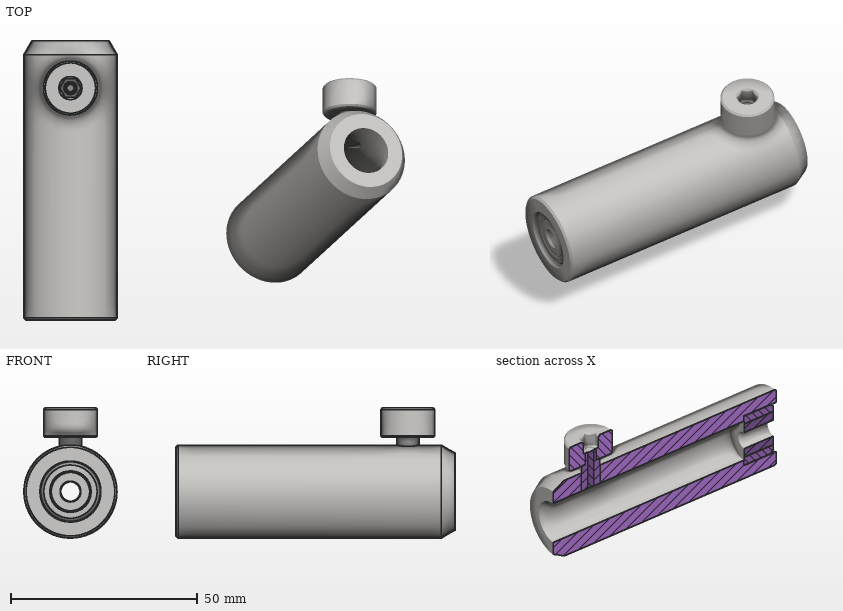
import cadquery as cq
import math


housing_length = 75.0
housing_radius = 12.5
base_chamfer = 0.6
mouth_taper_length = 3.75
mouth_taper_angle = 30.0
post_bore_radius = 6.35

plug_radius = 8.0
plug_face_radius = 7.15
plug_recess = 1.0
plug_length = 10.0
plug_pocket_chamfer = 0.2
plug_end = plug_recess + plug_length

bushing_radius = 5.35
bushing_edge_chamfer = 0.2
stud_hole_radius = 2.6
stud_hole_chamfer = 0.2

screw_y = 62.3
knob_top = 22.52
knob_height = 8.0
knob_radius = 7.25
knob_chamfer = 0.5
knob_bottom = knob_top - knob_height
socket_flats = 5.0
socket_depth = 4.0
socket_corner_radius = socket_flats / 2 / math.cos(math.pi / 6)
socket_mouth_radius = 3.1
countersink_depth = socket_mouth_radius - socket_flats / 2
socket_floor = knob_top - socket_depth

neck_radius = 3.05
screw_end_radius = 1.75
screw_end_chamfer = 0.25
screw_bottom = post_bore_radius
pin_radius = 1.0
pin_hole_chamfer = 0.2


def disc_y(radius, start, end):
    """Cylinder on the tube axis from Y = start to Y = end."""
    return cq.Workplane("XZ", origin=(0, start, 0)).circle(radius).extrude(start - end)


def disc_z(radius, bottom, top):
    """Cylinder on the thumbscrew axis from Z = bottom to Z = top."""
    return cq.Workplane("XY", origin=(0, screw_y, bottom)).circle(radius).extrude(top - bottom)


def inner_edge(part, side):
    """Smallest circular edge of the face on the given side: the mouth of its hole."""
    return part.faces(side).edges(cq.selectors.RadiusNthSelector(0))


def make_housing():
    taper_inset = mouth_taper_length * math.tan(math.radians(mouth_taper_angle))
    body = disc_y(housing_radius, 0, housing_length)
    body = body.faces("<Y").chamfer(base_chamfer)
    body = body.faces(">Y").edges().chamfer(mouth_taper_length, taper_inset)
    body = body.cut(disc_y(plug_radius, 0, plug_end))
    body = inner_edge(body, "<Y").chamfer(plug_pocket_chamfer)
    body = body.cut(disc_y(post_bore_radius, plug_end, housing_length))
    return body.cut(disc_z(neck_radius, 0, knob_bottom))


def make_base_plug():
    edge_chamfer = plug_radius - plug_face_radius
    plug = disc_y(plug_radius, plug_recess, plug_end).faces("<Y").chamfer(edge_chamfer)
    plug = plug.cut(disc_y(bushing_radius, plug_recess, plug_end))
    return inner_edge(plug, "<Y").chamfer(bushing_edge_chamfer)


def make_bushing():
    bushing = disc_y(bushing_radius, plug_recess, plug_end)
    bushing = bushing.faces("<Y").chamfer(bushing_edge_chamfer)
    bushing = bushing.cut(disc_y(stud_hole_radius, plug_recess, plug_end))
    return inner_edge(bushing, "<Y").chamfer(stud_hole_chamfer)


def make_knob():
    knob = disc_z(knob_radius, knob_bottom, knob_top).faces("<Z or >Z").chamfer(knob_chamfer)
    top_plane = cq.Workplane("XY", origin=(0, screw_y, knob_top))
    socket = top_plane.polygon(6, 2 * socket_corner_radius).extrude(-socket_depth)
    countersink = top_plane.circle(socket_mouth_radius).workplane(offset=-countersink_depth)
    countersink = countersink.circle(socket_flats / 2).loft()
    knob = knob.cut(socket).cut(countersink)
    return knob.cut(disc_z(screw_end_radius, knob_bottom, socket_floor))


def make_screw():
    neck = disc_z(neck_radius, screw_bottom, knob_bottom)
    end = disc_z(screw_end_radius, knob_bottom, socket_floor).faces(">Z").chamfer(screw_end_chamfer)
    screw = neck.union(end).cut(disc_z(pin_radius, screw_bottom, socket_floor))
    return inner_edge(screw, ">Z").chamfer(pin_hole_chamfer)


def make_pin():
    return disc_z(pin_radius, screw_bottom, socket_floor - pin_hole_chamfer)


housing = make_housing()
base_plug = make_base_plug()
bushing = make_bushing()
knob = make_knob()
screw = make_screw()
pin = make_pin()

result = cq.Compound.makeCompound(
    [housing.val(), base_plug.val(), bushing.val(), knob.val(), screw.val(), pin.val()]
)